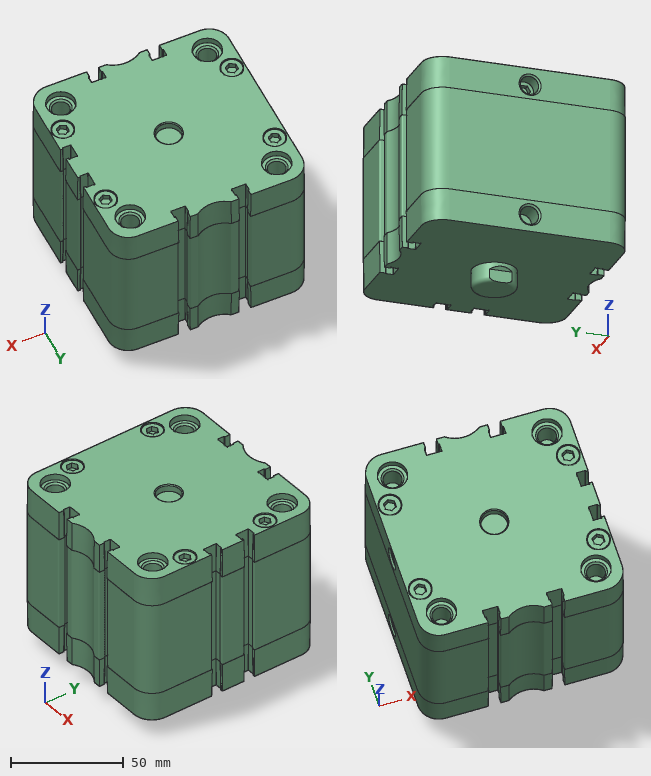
import cadquery as cq
import math

width = 95.5
corner_radius = 9.9
cap_height = 15.0
barrel_height = 49.0
housing_height = barrel_height + 2 * cap_height
cap_inset = 0.2
cap_draft = math.degrees(math.atan(cap_inset / cap_height))
edge_round = 0.8
half_width = width / 2

slot_neck = 5.5
slot_pocket = 6.7
y_slot_offset = 14.9
y_slot_depth = 6.5
y_slot_lip = 3.2
x_slot_offset = 9.0
x_slot_depth = 5.35
x_slot_lip = 1.6
groove_radius = 13.4
groove_half_width = 8.1
groove_axis = half_width + math.sqrt(groove_radius**2 - groove_half_width**2)

mount_offset = 36.0
mount_bore = 13.5
mount_bore_depth = 3.15
mount_hole = 8.4
mount_hole_mouth = 10.1
centre_hole = 12.0
centre_chamfer = 0.5
centre_depth = 3.6
screw_x = 41.5
screw_y = 22.25
screw_recess = 10.5
screw_head = 9.8
screw_sink = 0.5
head_chamfer_depth = 0.3
hex_key = 5.0
hex_depth = 2.6

port_inset = 8.0
port_hole = 8.6
port_mouth = 10.5
port_depth = 10.5
plug_depth = 7.6

rod_diameter = 20.6
rod_length = 9.0
rod_end_round = 2.0
rod_flats = 17.7
rod_flat_length = 5.7


def slot_cutter(depth, lip):
    """T-slot entering the +Y face on the centre plane, over the barrel height."""
    neck = cq.Workplane("XY").box(slot_neck, depth, barrel_height, centered=(True, False, False))
    pocket = cq.Workplane("XY").box(slot_pocket, depth - lip, barrel_height, centered=(True, False, False))
    return neck.union(pocket).translate((0, half_width - depth, cap_height))


def slotted_block():
    """Barrel-height block with sharp-edged slots and grooves."""
    block = (
        cq.Workplane("XY")
        .workplane(offset=cap_height)
        .rect(width, width)
        .extrude(barrel_height)
        .edges("|Z")
        .fillet(corner_radius)
    )
    y_slot = slot_cutter(y_slot_depth, y_slot_lip)
    x_slot = slot_cutter(x_slot_depth, x_slot_lip)
    groove = (
        cq.Workplane("XY")
        .workplane(offset=cap_height)
        .center(0, groove_axis)
        .circle(groove_radius)
        .extrude(barrel_height)
    )
    for turn in (0, 180):
        block = block.cut(groove.rotate((0, 0, 0), (0, 0, 1), turn))
        for x in (-y_slot_offset, y_slot_offset):
            block = block.cut(y_slot.translate((x, 0, 0)).rotate((0, 0, 0), (0, 0, 1), turn))
    for x in (-x_slot_offset, x_slot_offset):
        block = block.cut(x_slot.translate((x, 0, 0)).rotate((0, 0, 0), (0, 0, 1), -90))
    return block


def make_barrel(block):
    """Barrel with rounded slot mouths and groove edges."""
    y_mouths = [y_slot_offset - slot_neck / 2, y_slot_offset + slot_neck / 2, groove_half_width]
    x_mouths = [x_slot_offset - slot_neck / 2, x_slot_offset + slot_neck / 2]
    points = [(sx * m, sy * half_width) for m in y_mouths for sx in (-1, 1) for sy in (-1, 1)]
    points += [(half_width, sy * m) for m in x_mouths for sy in (-1, 1)]
    middle = housing_height / 2
    barrel = block
    for x, y in points:
        barrel = barrel.edges(cq.selectors.NearestToPointSelector((x, y, middle))).fillet(edge_round)
    return barrel


def cap_blank(block, side):
    """Drafted cap grown from the outline of one end of the slotted block."""
    return block.faces(side).wires().toPending().workplane().extrude(cap_height, taper=cap_draft, combine=False)


def cone_mouth(plane, mouth, hole):
    """45-degree countersink, opening at the plane's origin against its normal."""
    depth = (mouth - hole) / 2
    return cq.Workplane(plane).circle(mouth / 2).workplane(offset=-depth).circle(hole / 2).loft()


def cylinder(plane, diameter, depth):
    """Cylinder going from the plane's origin against its normal."""
    return cq.Workplane(plane).circle(diameter / 2).extrude(-depth)


def hex_socket(plane):
    """Hexagonal key socket sunk from the plane's origin."""
    across_corners = hex_key / math.cos(math.pi / 6)
    return cq.Workplane(plane).polygon(6, across_corners).extrude(-hex_depth)


def port_cutter(z, depth):
    """Countersunk port entering the -X side at height z."""
    plane = cq.Plane(origin=(-half_width, 0, z), xDir=(0, 1, 0), normal=(-1, 0, 0))
    return cylinder(plane, port_hole, depth).union(cone_mouth(plane, port_mouth, port_hole))


def top_plane(x, y, depth=0.0):
    """Upward-facing plane at a given depth below the top of the housing."""
    return cq.Plane(origin=(x, y, housing_height - depth), xDir=(0, 1, 0), normal=(0, 0, 1))


def mount_cutter(x, y):
    """Counterbored mounting hole through the top cap, countersunk at the ledge."""
    ledge = top_plane(x, y, mount_bore_depth)
    bore = cylinder(top_plane(x, y), mount_bore, mount_bore_depth)
    hole = cylinder(ledge, mount_hole, cap_height - mount_bore_depth)
    return bore.union(hole).union(cone_mouth(ledge, mount_hole_mouth, mount_hole))


def screw_cutter(x, y):
    """Recess around a chamfered screw head, with the key socket in the head."""
    head_top = top_plane(x, y, screw_sink)
    head = (
        cq.Workplane(top_plane(x, y, screw_sink + head_chamfer_depth))
        .circle(screw_recess / 2)
        .workplane(offset=head_chamfer_depth)
        .circle(screw_head / 2)
        .loft()
    )
    recess = cylinder(top_plane(x, y), screw_recess, screw_sink + head_chamfer_depth)
    return recess.cut(head).union(hex_socket(head_top))


def make_top_cap(block):
    """Cap with mounting holes, screw heads, centre hole and a plugged port."""
    cap = cap_blank(block, ">Z")
    for sx in (-1, 1):
        for sy in (-1, 1):
            cap = cap.cut(mount_cutter(sx * mount_offset, sy * mount_offset))
            cap = cap.cut(screw_cutter(sx * screw_x, sy * screw_y))
    centre = top_plane(0, 0)
    cap = cap.cut(cylinder(centre, centre_hole, centre_depth))
    cap = cap.cut(cone_mouth(centre, centre_hole + 2 * centre_chamfer, centre_hole))

    port_z = housing_height - port_inset
    plug_face = cq.Plane(origin=(plug_depth - half_width, 0, port_z), xDir=(0, 1, 0), normal=(-1, 0, 0))
    return cap.cut(port_cutter(port_z, plug_depth)).cut(hex_socket(plug_face))


def make_bottom_cap(block):
    """Cap with one open port."""
    return cap_blank(block, "<Z").cut(port_cutter(port_inset, port_depth))


def make_rod():
    """Round rod end below the housing with two wrench flats facing -X and +X."""
    rod = cylinder(cq.Plane.XY(), rod_diameter, rod_length).faces("<Z").edges().fillet(rod_end_round)
    radius = rod_diameter / 2
    flat = rod_flats / 2
    flat_top = rod_flat_length - rod_length
    relief = (
        cq.Workplane("XZ")
        .moveTo(flat, -rod_length)
        .lineTo(flat, flat_top)
        .lineTo(radius, flat_top + radius - flat)
        .lineTo(radius, -rod_length)
        .close()
        .extrude(radius, both=True)
    )
    return rod.cut(relief).cut(relief.mirror("YZ"))


block = slotted_block()
barrel = make_barrel(block)
top_cap = make_top_cap(block)
bottom_cap = make_bottom_cap(block)
piston_rod = make_rod()

result = cq.Compound.makeCompound([barrel.val(), top_cap.val(), bottom_cap.val(), piston_rod.val()])